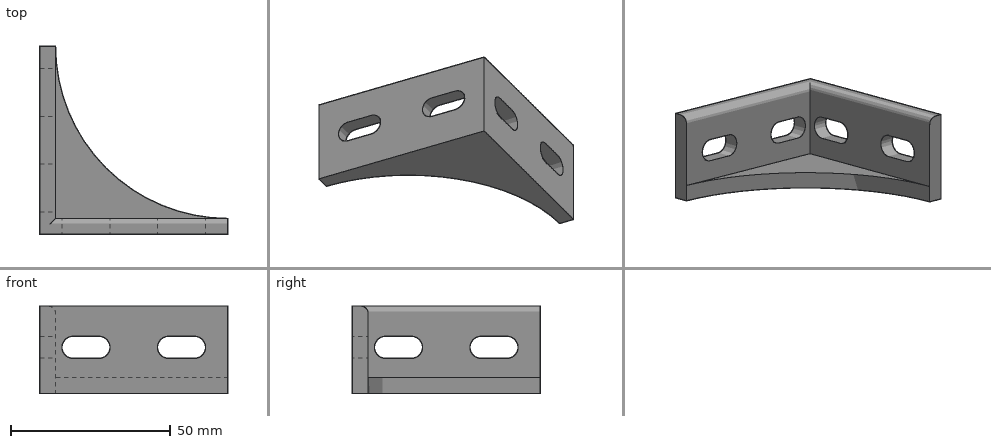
import cadquery as cq
import math

leg = 59.0
height = 27.5
wall = 5.0
top_land = wall / 2
bevel_width = 0.75
bevel_angle = 12.0
floor_thickness = 5.0

slot_length = 15.0
slot_width = 6.85
slot_centers = (14.5, 44.5)
slot_height = 14.5


def make_walls():
    """Two walls whose inner top edges have a shallow bevel running into a round."""
    round_start = top_land + bevel_width
    bevel_slope = math.radians(bevel_angle)
    edge_radius = (wall - round_start) / (1 - math.sin(bevel_slope))
    bevel_bottom = height - bevel_width * math.tan(bevel_slope)
    round_bottom = bevel_bottom - edge_radius * math.cos(bevel_slope)

    front = (
        cq.Workplane("YZ")
        .lineTo(wall, 0)
        .lineTo(wall, round_bottom)
        .radiusArc((round_start, bevel_bottom), -edge_radius)
        .lineTo(top_land, height)
        .lineTo(0, height)
        .close()
        .extrude(leg)
    )
    side = front.rotate((0, 0, 0), (0, 0, 1), 90).mirror("YZ")
    return front.union(side)


def make_floor():
    """Gusset whose free edge is an arc tangent to both inner wall faces."""
    arc_radius = leg - wall
    return (
        cq.Workplane("XY")
        .moveTo(0, 0)
        .lineTo(leg, 0)
        .lineTo(leg, wall)
        .radiusArc((wall, leg), arc_radius)
        .lineTo(0, leg)
        .close()
        .extrude(floor_thickness)
    )


def make_slots():
    """Slot cutters reaching just through the thickness of each wall."""
    points = [(center, slot_height) for center in slot_centers]
    front = (
        cq.Workplane("XZ")
        .pushPoints(points)
        .slot2D(slot_length, slot_width)
        .extrude(-wall)
    )
    side = (
        cq.Workplane("YZ")
        .pushPoints(points)
        .slot2D(slot_length, slot_width)
        .extrude(wall)
    )
    return front.union(side)


result = make_walls().union(make_floor()).cut(make_slots())